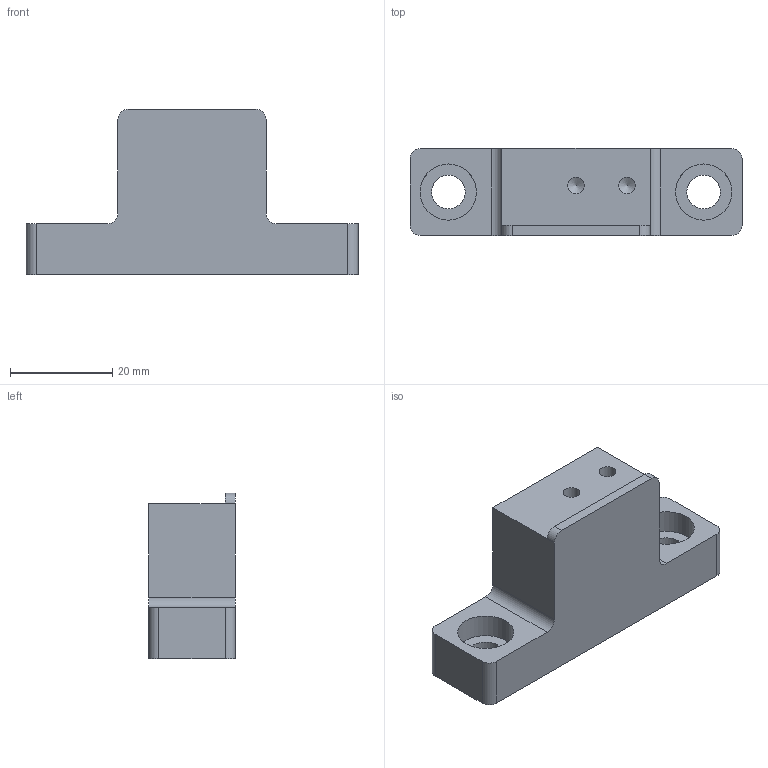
import cadquery as cq
import math

length = 65.0
depth = 17.0
base_height = 10.0
corner_radius = 2.0

total_height = 32.38
block_width = 29.0
root_radius = 2.0
lip_height = 2.0
lip_thickness = 2.0
lip_corner_radius = 2.0
block_height = total_height - lip_height

mount_spacing = 50.0
mount_diameter = 6.6
counterbore_diameter = 11.0
counterbore_depth = 4.7

drill_diameter = 3.3
drill_depth = 10.0
drill_tip_angle = 118.0
drill_x_positions = (0.0, 10.0)
drill_y = 1.25


def make_base():
    """Flange plate with rounded vertical corners."""
    base = cq.Workplane("XY").box(length, depth, base_height, centered=(True, True, False))
    return base.edges("|Z").fillet(corner_radius)


def make_block():
    """Upright block whose front lip has rounded top corners."""
    block = cq.Workplane("XY").box(block_width, depth, total_height, centered=(True, True, False))
    block = block.edges("|Y and >Z").fillet(lip_corner_radius)
    behind_lip = (
        cq.Workplane("XY")
        .workplane(offset=block_height)
        .center(0, lip_thickness)
        .rect(block_width, depth)
        .extrude(lip_height)
    )
    return block.cut(behind_lip)


def make_root_fillet(side):
    """Concave fillet strip between block and base; side is -1 (left) or +1 (right)."""
    wall_x = side * block_width / 2
    outer_x = wall_x + side * root_radius
    top_z = base_height + root_radius
    mid_offset = root_radius * (1 - math.sqrt(0.5))
    return (
        cq.Workplane("XZ", origin=(0, depth / 2, 0))
        .moveTo(wall_x, base_height)
        .lineTo(outer_x, base_height)
        .threePointArc((wall_x + side * mid_offset, base_height + mid_offset), (wall_x, top_z))
        .close()
        .extrude(depth)
    )


def cut_mount_holes(body):
    """Counterbored through holes, one at each end of the base."""
    half_spacing = mount_spacing / 2
    return (
        body.copyWorkplane(cq.Workplane("XY", origin=(0, 0, base_height)))
        .pushPoints([(-half_spacing, 0), (half_spacing, 0)])
        .cboreHole(mount_diameter, counterbore_diameter, counterbore_depth)
    )


def make_drill(x):
    """Drill-shaped cutter: a cylinder ending in a conical tip."""
    radius = drill_diameter / 2
    tip_length = radius / math.tan(math.radians(drill_tip_angle / 2))
    return (
        cq.Workplane("XZ", origin=(x, drill_y, block_height))
        .polyline([(0, 0), (radius, 0), (radius, -drill_depth), (0, -drill_depth - tip_length)])
        .close()
        .revolve(axisStart=(0, 0, 0), axisEnd=(0, 1, 0))
    )


body = make_base().union(make_block())
for side in (-1, 1):
    body = body.union(make_root_fillet(side))
for x in drill_x_positions:
    body = body.cut(make_drill(x))
result = cut_mount_holes(body)